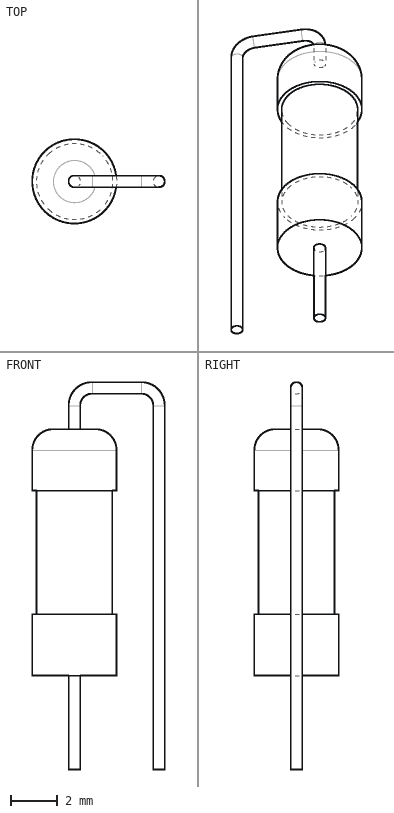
import cadquery as cq

body_length = 10.5
cap_diameter = 3.6
core_diameter = 3.24
lead_diameter = 0.5
lead_pitch = 3.6
lead_below_body = 4.0
lead_above_body = 2.0
bend_radius = 0.75

cap_length = body_length / 4
top_rounding = cap_diameter / 4
lead_end_z = -lead_below_body
crossbar_z = body_length + lead_above_body - lead_diameter / 2
bend_start_z = crossbar_z - bend_radius


def cylinder(diameter, bottom_z, length):
    """Solid cylinder on the body axis."""
    return cq.Workplane("XY").workplane(offset=bottom_z).circle(diameter / 2).extrude(length)


def make_body():
    """Slim core between two wider caps; the upper cap is rounded on top."""
    core = cylinder(core_diameter, cap_length, body_length - 2 * cap_length)
    lower_cap = cylinder(cap_diameter, 0, cap_length)
    upper_cap = cylinder(cap_diameter, body_length - cap_length, cap_length)
    upper_cap = upper_cap.faces(">Z").edges().fillet(top_rounding)
    return core.union(lower_cap).union(upper_cap)


def make_lead():
    """One wire through the body axis, bent over the top and back down beside the body."""
    path = (
        cq.Workplane("XZ")
        .moveTo(0, lead_end_z)
        .lineTo(0, bend_start_z)
        .radiusArc((bend_radius, crossbar_z), bend_radius)
        .lineTo(lead_pitch - bend_radius, crossbar_z)
        .radiusArc((lead_pitch, bend_start_z), bend_radius)
        .lineTo(lead_pitch, lead_end_z)
    )
    section = cq.Workplane("XY").workplane(offset=lead_end_z).circle(lead_diameter / 2)
    return section.sweep(path)


result = make_body().union(make_lead())